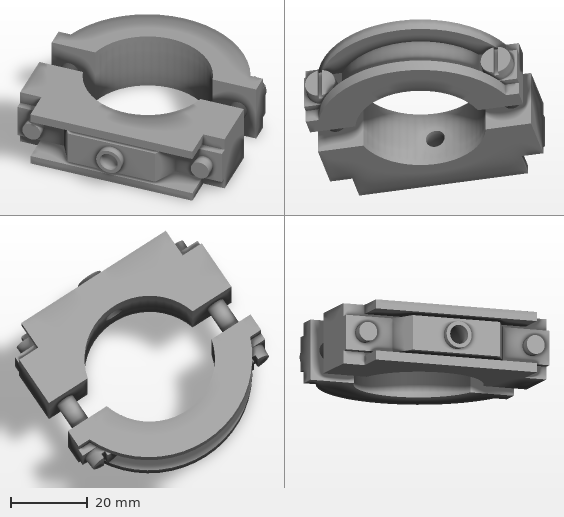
import cadquery as cq


length = 57.0
depth = 16.0
split_gap = 9.0
bore_radius = 17.0

arch_radius = 27.0
arch_center_y = -0.5
upper_ear_y = 9.5
upper_channel_width = 10.0
channel_floor_radius = 21.0

lower_ear_y = -18.5
base_y = -26.5
base_length = 45.15
lower_channel_width = 11.2

strap_width = 9.2
arch_strap_thickness = 0.9
ear_strap_thickness = 1.95
boss_root_length = 31.0
boss_top_length = 24.4
sleeve_diameter = 7.0
sleeve_bore_diameter = 5.0
sleeve_height = 2.0

screw_spacing = 46.95
shank_diameter = 5.0
screw_tip_length = 3.0
head_diameter = 8.55
head_height = 3.3
head_taper = 5.0
slot_width = 1.2
slot_depth = 1.25

half_length = length / 2
half_gap = split_gap / 2
upper_seat_y = upper_ear_y + ear_strap_thickness
lower_seat_y = lower_ear_y - ear_strap_thickness
screw_positions = (-screw_spacing / 2, screw_spacing / 2)
screw_tip_y = lower_seat_y - screw_tip_length
sleeve_end_y = base_y - sleeve_height
reach = length


def slab(x_size, y_start, y_end, z_size):
    """Block centred on X and Z that spans the two Y levels, lower one first."""
    middle = (0, (y_start + y_end) / 2, 0)
    return cq.Workplane("XY").box(x_size, y_end - y_start, z_size).translate(middle)


def disc(radius, thickness, center_y=0.0):
    """Cylinder along Z, centred on the XY plane."""
    return cq.Workplane("XY").center(0, center_y).circle(radius).extrude(thickness / 2, both=True)


def rod(x, y_start, y_end, diameter):
    """Cylinder along Y from y_start up to y_end."""
    plane = cq.Plane(origin=(x, y_start, 0), xDir=(1, 0, 0), normal=(0, 1, 0))
    return cq.Workplane(plane).circle(diameter / 2).extrude(y_end - y_start)


def drill_for_screws(body):
    """Cut the two holes that fit the screw shanks."""
    for x in screw_positions:
        body = body.cut(rod(x, -reach, reach, shank_diameter))
    return body


def make_upper_liner():
    arch = disc(arch_radius, depth, arch_center_y).intersect(slab(length, half_gap, reach, depth))
    liner = slab(length, half_gap, upper_ear_y, depth).union(arch)
    channel = slab(length, upper_ear_y, reach, upper_channel_width)
    channel = channel.cut(disc(channel_floor_radius, depth, arch_center_y))
    liner = liner.cut(channel).cut(disc(bore_radius, depth))
    return drill_for_screws(liner)


def make_upper_strap():
    strap = disc(channel_floor_radius + arch_strap_thickness, strap_width, arch_center_y)
    strap = strap.intersect(slab(length, upper_ear_y, reach, strap_width))
    strap = strap.union(slab(length, upper_ear_y, upper_seat_y, strap_width))
    strap = strap.cut(disc(channel_floor_radius, strap_width, arch_center_y))
    return drill_for_screws(strap)


def make_lower_liner():
    liner = slab(length, lower_ear_y, -half_gap, depth)
    liner = liner.union(slab(base_length, base_y, lower_ear_y, depth))
    liner = liner.cut(slab(length, base_y, lower_ear_y, lower_channel_width))
    liner = liner.cut(disc(bore_radius, depth))
    liner = liner.cut(rod(0, lower_ear_y, 0, sleeve_bore_diameter))
    return drill_for_screws(liner)


def make_lower_strap():
    outline = [
        (-half_length, lower_ear_y),
        (-half_length, lower_seat_y),
        (-boss_root_length / 2, lower_seat_y),
        (-boss_top_length / 2, base_y),
        (boss_top_length / 2, base_y),
        (boss_root_length / 2, lower_seat_y),
        (half_length, lower_seat_y),
        (half_length, lower_ear_y),
    ]
    strap = cq.Workplane("XY").polyline(outline).close().extrude(strap_width / 2, both=True)
    strap = strap.union(rod(0, sleeve_end_y, base_y, sleeve_diameter))
    strap = strap.cut(rod(0, sleeve_end_y, lower_ear_y, sleeve_bore_diameter))
    return drill_for_screws(strap)


def make_screw(x):
    head_plane = cq.Plane(origin=(x, upper_seat_y, 0), xDir=(1, 0, 0), normal=(0, 1, 0))
    head = cq.Workplane(head_plane).circle(head_diameter / 2).extrude(head_height, taper=head_taper)
    head_top_y = upper_seat_y + head_height
    slot = slab(slot_width, head_top_y - slot_depth, head_top_y, head_diameter).translate((x, 0, 0))
    return head.cut(slot).union(rod(x, screw_tip_y, upper_seat_y, shank_diameter))


upper_liner = make_upper_liner()
upper_strap = make_upper_strap()
lower_liner = make_lower_liner()
lower_strap = make_lower_strap()
screws = [make_screw(x).val() for x in screw_positions]

result = cq.Compound.makeCompound(
    [upper_liner.val(), upper_strap.val(), lower_liner.val(), lower_strap.val(), *screws]
)